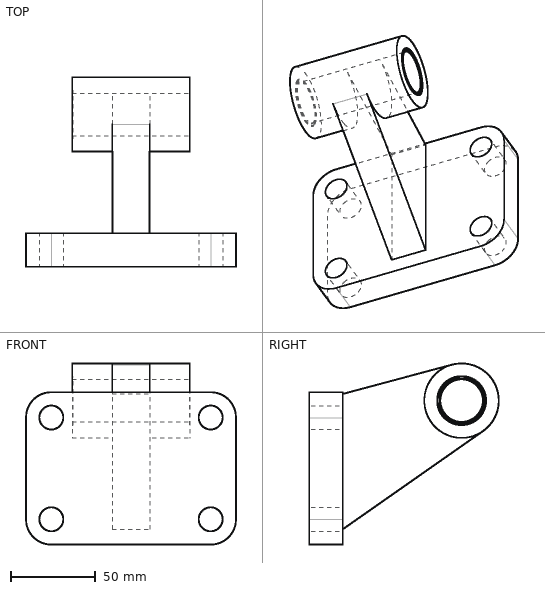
import cadquery as cq
import math

plate_width = 124.0
plate_height = 90.0
plate_thickness = 20.0
corner_radius = 15.0
hole_diameter = 14.0
hole_inset = corner_radius

boss_diameter = 44.0
boss_length = 69.5
boss_rise = 17.0
overall_depth = 112.0
boss_radius = boss_diameter / 2
boss_y = overall_depth - boss_radius
boss_z = plate_height / 2 + boss_rise - boss_radius

bore_diameter = 25.0
bushing_diameter = 28.0
end_chamfer = 0.5

arm_thickness = 22.1
upper_slope = 15.0
lower_slope = 35.0


def boss_tangent(slope, side):
    """Return the tangent point on the boss and where that line meets the plate.

    side is +1 for the upper edge and -1 for the lower edge.
    """
    angle = math.radians(slope)
    touch_y = boss_y - side * boss_radius * math.sin(angle)
    touch_z = boss_z + side * boss_radius * math.cos(angle)
    plate_z = touch_z - (touch_y - plate_thickness) * math.tan(angle)
    return (touch_y, touch_z), (plate_thickness, plate_z)


def cylinder_along_x(diameter, start, length):
    return (
        cq.Workplane("YZ", origin=(start, boss_y, boss_z))
        .circle(diameter / 2)
        .extrude(length)
    )


def make_plate():
    return (
        cq.Workplane("XZ")
        .rect(plate_width, plate_height)
        .extrude(-plate_thickness)
        .edges("|Y")
        .fillet(corner_radius)
        .faces("<Y")
        .workplane(centerOption="CenterOfBoundBox")
        .rect(plate_width - 2 * hole_inset, plate_height - 2 * hole_inset, forConstruction=True)
        .vertices()
        .hole(hole_diameter)
    )


def make_arm():
    upper_touch, upper_root = boss_tangent(upper_slope, 1)
    lower_touch, lower_root = boss_tangent(lower_slope, -1)
    return (
        cq.Workplane("YZ")
        .moveTo(*upper_root)
        .lineTo(*upper_touch)
        .lineTo(boss_y, boss_z)
        .lineTo(*lower_touch)
        .lineTo(*lower_root)
        .close()
        .extrude(arm_thickness / 2, both=True)
    )


def cut_end_chamfers(body, end_x, inward):
    """Cut the ring chamfers around the bore and the bushing into one boss end.

    inward is the X direction, +1 or -1, that leads into the boss.
    """
    for diameter in (bore_diameter, bushing_diameter):
        radius = diameter / 2
        ring = (
            cq.Workplane("XY", origin=(0, boss_y, boss_z))
            .moveTo(end_x, radius)
            .lineTo(end_x, radius + end_chamfer)
            .lineTo(end_x + inward * end_chamfer, radius)
            .close()
            .revolve(360, (0, 0), (1, 0))
        )
        body = body.cut(ring)
    return body


boss = cylinder_along_x(boss_diameter, -boss_length / 2, boss_length)
bore = cylinder_along_x(bore_diameter, -boss_length / 2, boss_length)
result = make_plate().union(make_arm()).union(boss).cut(bore)
result = cut_end_chamfers(result, -boss_length / 2, 1)
result = cut_end_chamfers(result, boss_length / 2, -1)